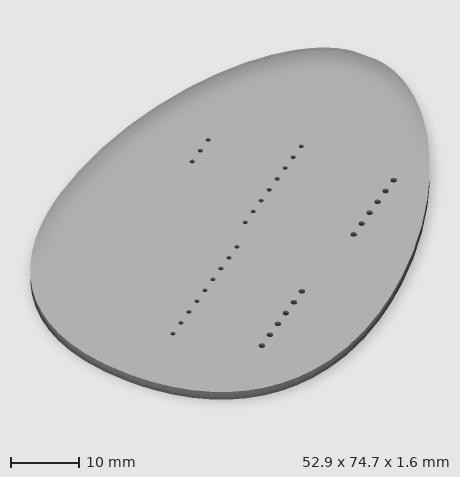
import cadquery as cq

length = 74.65
width = 52.85
thickness = 1.6

flat_half_width = 1.9
widest_y = -8.95
shoulder_control = (13.6, 36.1)
upper_reach = 22.4
lower_reach = 16.0
blunt_end_reach = 18.4

pitch = 2.55
grid_x = 0.4
grid_y = 16.3
small_diameter = 0.75
large_diameter = 1.0

hole_rows = [
    (0, 0, 8, small_diameter),
    (-5, 2, 3, small_diameter),
    (0.5, 9, 9, small_diameter),
    (6, 0, 6, large_diameter),
    (5.5, 10.5, 6, large_diameter),
]


def mirrored(points):
    """Points reflected in the YZ plane."""
    return [(-x, y) for x, y in points]


def egg_plate():
    """Egg-shaped plate, symmetric about the YZ plane, blunt end toward -Y."""
    side = width / 2
    end = length / 2
    upper_flank = [
        (flat_half_width, end),
        shoulder_control,
        (side, widest_y + upper_reach),
        (side, widest_y),
    ]
    lower_flank = [
        (side, widest_y),
        (side, widest_y - lower_reach),
        (blunt_end_reach, -end),
        (0, -end),
    ]
    outline = (
        cq.Workplane("XY")
        .moveTo(*upper_flank[0])
        .bezier(upper_flank)
        .bezier(lower_flank)
        .bezier(mirrored(reversed(lower_flank)))
        .bezier(mirrored(reversed(upper_flank)))
        .close()
    )
    return outline.extrude(thickness)


def hole_row(column, first_step, count, diameter):
    """Cutting cylinders for one row of through holes running toward -Y."""
    x = grid_x + column * pitch
    centres = [(x, grid_y - (first_step + step) * pitch) for step in range(count)]
    return cq.Workplane("XY").pushPoints(centres).circle(diameter / 2).extrude(thickness)


result = egg_plate()
for row in hole_rows:
    result = result.cut(hole_row(*row))